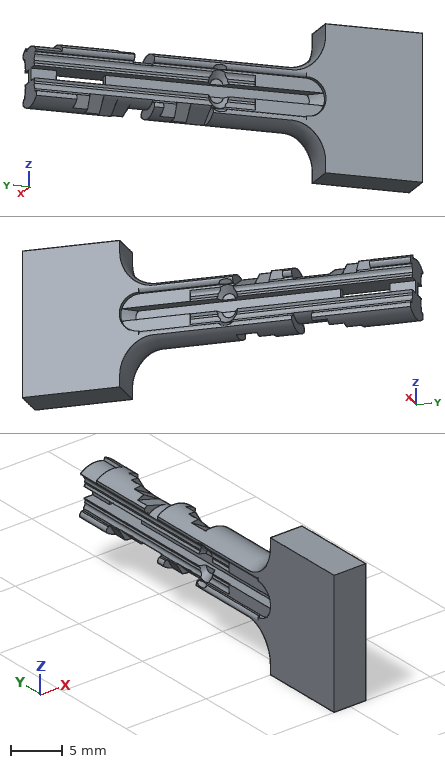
import cadquery as cq
import math


LENGTH = 40.0
WIDTH = 3.95
BOW_HEIGHT = 15.15
BOW_LENGTH = 10.05
TIP_Y = LENGTH / 2
BOW_Y = BOW_LENGTH - TIP_Y
FACE_X = WIDTH / 2

BLADE_RADIUS = 3.25
CORE_RADIUS = 2.3
SHOULDER_RADIUS = 3.45

NECK_BOW_SIDE_Y = 7.75
NECK_TIP_SIDE_Y = 9.8

CUT_ANGLES = (15, 30, 45, 60)
TIP_ROW_END_Y = 15.8
CUT_STEP = (TIP_ROW_END_Y - NECK_TIP_SIDE_Y) / len(CUT_ANGLES)
BOW_ROW_START_Y = 1.7
BOW_ROW_END_Y = 6.8

TIP_RELIEF_RADIUS = 2.9
TIP_RELIEF_LENGTH = 2.7
TIP_RELIEF_EDGE_ANGLE = 21

POCKET_FLOOR_X = 1.5
POCKET_RADIUS = 2.0
POCKET_END_Y = -8.0
LIP_HALF_HEIGHT = 2.35
LIP_DEPTH = 0.25
LIP_BULGE = 0.05

RIBS_END_Y = -2.9
OUTER_GROOVE_TOP_Z = 1.75
OUTER_GROOVE_EDGE = (1.35, 1.5)
OUTER_GROOVE_BOTTOM = (1.3, 1.35)
RIB_CREST = (1.35, 1.15)
INNER_GROOVE_BOTTOM = (1.3, 0.9)
SLOT_MOUTH_X = 1.45

SLOT_HALF_HEIGHT = 0.65
WEB_HALF = 0.35
WINDOW_BOW_SIDE_Y = 12.3
WINDOW_TIP_SIDE_Y = 17.35

DIMPLE_Y = 0.9
DIMPLE_FLOOR_X = 0.8
DIMPLE_MOUTH_HEIGHT = 4.8
DIMPLE_MOUTH_WIDTH = 2.9
DIMPLE_FLOOR_HEIGHT = 2.5
DIMPLE_FLOOR_WIDTH = 1.35

CLEAR = 2.4


def section():
    """Sketch plane for outlines drawn as (x, z)."""
    return cq.Workplane("XZ")


def prism(sketch, start, end):
    """Extrude a section sketch from one Y place up to a higher one."""
    return sketch.extrude(start - end).translate((0, start, 0))


def both_faces(cutter):
    """A cutter together with its copy half a turn around Y."""
    return cutter.union(cutter.rotate((0, 0, 0), (0, 1, 0), 180))


def key_body():
    """Turned blade with a flaring shoulder, flattened on both sides, joined to the bow."""
    shoulder_top = BLADE_RADIUS + SHOULDER_RADIUS
    shoulder_y = BOW_Y + SHOULDER_RADIUS
    mid = SHOULDER_RADIUS * math.sqrt(0.5)
    turned = (
        cq.Workplane("XY")
        .moveTo(0, BOW_Y)
        .lineTo(shoulder_top, BOW_Y)
        .threePointArc((shoulder_top - mid, shoulder_y - mid), (BLADE_RADIUS, shoulder_y))
        .lineTo(BLADE_RADIUS, TIP_Y)
        .lineTo(0, TIP_Y)
        .close()
        .revolve(360, (0, 0, 0), (0, 1, 0))
    )
    slab = cq.Workplane("XY").box(WIDTH, LENGTH, BOW_HEIGHT)
    bow = cq.Workplane("XY").box(WIDTH, BOW_LENGTH, BOW_HEIGHT)
    bow = bow.translate((0, BOW_Y - BOW_LENGTH / 2, 0))
    return turned.intersect(slab).union(bow)


def neck():
    ring = section().circle(BLADE_RADIUS + CLEAR).circle(CORE_RADIUS)
    return prism(ring, NECK_BOW_SIDE_Y, NECK_TIP_SIDE_Y)


def stepped_cut(angle, start, end):
    """Flat tangent to the core, followed by the core itself round to the +X face."""
    turn = math.radians(angle)
    nx, nz = math.sin(turn), math.cos(turn)
    half = (turn + math.pi / 2) / 2
    reach = BLADE_RADIUS + CLEAR
    touch = (CORE_RADIUS * nx, CORE_RADIUS * nz)
    flat_end = (touch[0] - BLADE_RADIUS * nz, touch[1] + BLADE_RADIUS * nx)
    outline = (
        section()
        .moveTo(CORE_RADIUS, 0)
        .threePointArc((CORE_RADIUS * math.sin(half), CORE_RADIUS * math.cos(half)), touch)
        .lineTo(*flat_end)
        .lineTo(flat_end[0] + CLEAR * nx, flat_end[1] + CLEAR * nz)
        .lineTo(reach, reach)
        .lineTo(reach, 0)
        .close()
    )
    return prism(outline, start, end)


def tip_relief():
    ring = section().circle(BLADE_RADIUS + CLEAR).circle(TIP_RELIEF_RADIUS)
    start = TIP_Y - TIP_RELIEF_LENGTH
    reach = BLADE_RADIUS + CLEAR
    edge_x = reach * math.tan(math.radians(TIP_RELIEF_EDGE_ANGLE))
    sector = section().polyline([(0, 0), (edge_x, reach), (-reach, reach), (-reach, 0)]).close()
    return prism(ring, start, TIP_Y).intersect(prism(sector, start, TIP_Y))


def pocket():
    """Keyway pocket in the +X face with its rounded lips and round end."""
    lip_x = FACE_X - LIP_DEPTH
    upper_half = (
        section()
        .moveTo(POCKET_FLOOR_X, 0)
        .lineTo(POCKET_FLOOR_X, POCKET_RADIUS)
        .lineTo(lip_x, POCKET_RADIUS)
        .sagittaArc((FACE_X, LIP_HALF_HEIGHT), -LIP_BULGE)
        .lineTo(FACE_X + CLEAR, LIP_HALF_HEIGHT)
        .lineTo(FACE_X + CLEAR, 0)
        .close()
    )
    upper = prism(upper_half, POCKET_END_Y, TIP_Y)
    round_end = (
        cq.Workplane("YZ", origin=(POCKET_FLOOR_X, POCKET_END_Y, 0))
        .circle(POCKET_RADIUS)
        .extrude(CLEAR)
    )
    return upper.union(upper.mirror("XY")).union(round_end)


def ribbed_channel():
    """Shallow grooves above and below the central slot."""
    outline = (
        section()
        .moveTo(POCKET_FLOOR_X + CLEAR, OUTER_GROOVE_TOP_Z)
        .lineTo(POCKET_FLOOR_X, OUTER_GROOVE_TOP_Z)
        .lineTo(*OUTER_GROOVE_EDGE)
        .threePointArc(OUTER_GROOVE_BOTTOM, RIB_CREST)
        .lineTo(*INNER_GROOVE_BOTTOM)
        .lineTo(SLOT_MOUTH_X, SLOT_HALF_HEIGHT)
        .lineTo(SLOT_MOUTH_X, 0)
        .lineTo(POCKET_FLOOR_X + CLEAR, 0)
        .close()
    )
    upper = prism(outline, RIBS_END_Y, TIP_Y)
    return upper.union(upper.mirror("XY"))


def slot():
    """Central slot in the +X face, ending on a 45 degree cone."""
    depth = POCKET_FLOOR_X - WEB_HALF
    half = SLOT_HALF_HEIGHT
    run = TIP_Y - POCKET_END_Y
    straight = cq.Workplane("XY").box(CLEAR, run, 2 * half)
    straight = straight.translate((WEB_HALF + CLEAR / 2, POCKET_END_Y + run / 2, 0))
    cone = (
        cq.Workplane("XY")
        .polyline([
            (WEB_HALF, 0),
            (WEB_HALF, POCKET_RADIUS - depth),
            (POCKET_FLOOR_X, POCKET_RADIUS),
            (POCKET_FLOOR_X, 0),
        ])
        .close()
        .revolve(360, (0, 0, 0), (1, 0, 0))
        .translate((0, POCKET_END_Y, 0))
    )
    band = cq.Workplane("XY").box(LENGTH, LENGTH, 2 * half)
    return straight.union(cone.intersect(band))


def dimple():
    """Tapered dimple in the +X face, taller than it is wide with round ends."""
    upright = 90
    return (
        cq.Workplane("YZ", origin=(DIMPLE_FLOOR_X, DIMPLE_Y, 0))
        .slot2D(DIMPLE_FLOOR_HEIGHT, DIMPLE_FLOOR_WIDTH, upright)
        .workplane(offset=FACE_X - DIMPLE_FLOOR_X)
        .slot2D(DIMPLE_MOUTH_HEIGHT, DIMPLE_MOUTH_WIDTH, upright)
        .loft(ruled=True)
    )


def web_window():
    run = WINDOW_TIP_SIDE_Y - WINDOW_BOW_SIDE_Y
    window = cq.Workplane("XY").box(WIDTH, run, 2 * SLOT_HALF_HEIGHT)
    return window.translate((0, WINDOW_BOW_SIDE_Y + run / 2, 0))


result = key_body().cut(neck()).cut(tip_relief())

for place, angle in enumerate(CUT_ANGLES):
    start = NECK_TIP_SIDE_Y + place * CUT_STEP
    result = result.cut(both_faces(stepped_cut(angle, start, start + CUT_STEP)))

bow_row_angles = CUT_ANGLES[1:]
for place, angle in enumerate(reversed(bow_row_angles)):
    end = BOW_ROW_END_Y - place * CUT_STEP
    start = end - CUT_STEP
    if angle == bow_row_angles[0]:
        start = BOW_ROW_START_Y
    result = result.cut(both_faces(stepped_cut(angle, start, end)))

for cutter in (pocket(), ribbed_channel(), slot(), dimple()):
    result = result.cut(both_faces(cutter))

result = result.cut(web_window())